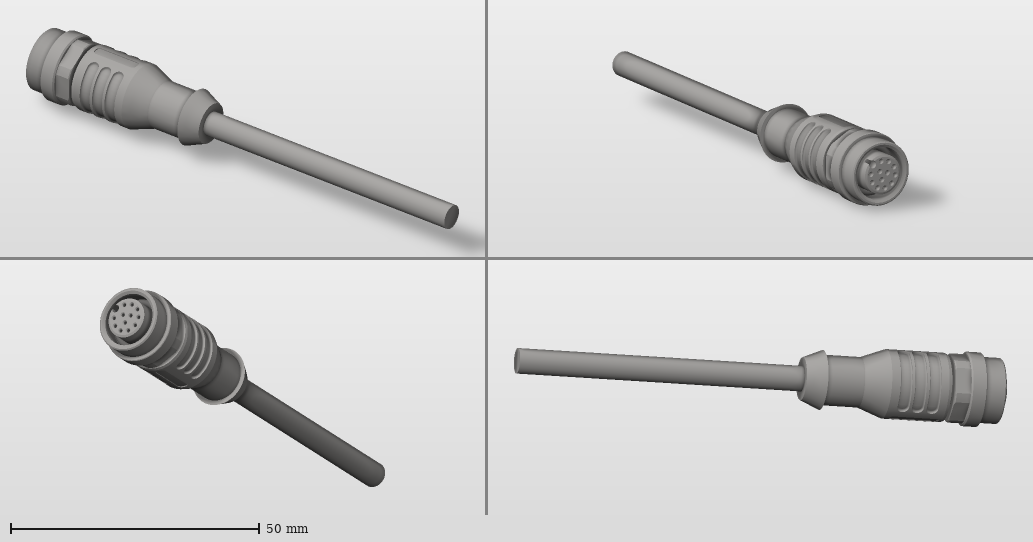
import cadquery as cq
import math

total_length = 101.0
nut_front = 0.8
flange_front = 5.0
flange_back = 8.3
nut_back = 11.4
grip_front = 12.2
grip_back = 24.7
barrel_front = 29.9
collar_front = 37.8
collar_back = 41.8

insert_dia = 8.3
insert_face_dia = 7.4
nut_dia = 13.3
flange_dia = 15.0
hex_corner_dia = 14.0
neck_dia = 8.7
grip_dia = 14.0
barrel_dia = 10.2
collar_dia = 12.1
collar_end_dia = 8.7
cable_dia = 5.2

insert_chamfer_length = 0.2
nut_chamfer = 0.25
flange_front_chamfer = 0.15
flange_back_chamfer = 0.3
hex_chamfer = 0.2
grip_chamfer_length = 0.6
grip_chamfer_height = 0.2

hex_sides = 6
hex_across_flats = 13.0

bore_dia = 10.9
bore_mouth_dia = 12.0
bore_mouth_depth = 0.4
bore_depth = 4.0
seal_dia = 10.7

contact_dia = 0.7
contact_mouth_dia = 1.1
contact_depth = 2.0
outer_contact_circle = 5.8
inner_contact_circle = 2.1
outer_positions = 10
inner_contacts = 3
key_angle = 135.0
key_width = 1.6
key_circle = 6.9
key_depth = 2.0

groove_count = 3
groove_pitch = 3.0
groove_first_x = 15.7
groove_width = 2.4
groove_floor_fillet = 0.3
groove_depth = 0.5
groove_end_y = 2.9

label_front = 13.4
label_back = 23.6
label_width = 2.2
label_corner = 0.8
label_depth = 0.25


def cylinder(diameter, start, end):
    """Cylinder on the X axis between two X positions."""
    return cq.Workplane("YZ", origin=(start, 0, 0)).circle(diameter / 2).extrude(end - start)


def cone(start_dia, end_dia, start, end):
    """Truncated cone on the X axis between two X positions."""
    profile = [(start, 0), (start, start_dia / 2), (end, end_dia / 2), (end, 0)]
    return cq.Workplane("XY").polyline(profile).close().revolve(360, (0, 0, 0), (1, 0, 0))


def make_nut():
    front = cylinder(nut_dia, nut_front, flange_front).faces("<X").chamfer(nut_chamfer)
    flange = (
        cylinder(flange_dia, flange_front, flange_back)
        .faces("<X")
        .chamfer(flange_front_chamfer)
        .faces(">X")
        .chamfer(flange_back_chamfer)
    )
    return front.union(flange).union(make_hexagon()).cut(make_bore())


def make_hexagon():
    """Hexagon with flats facing -Y and +Y and its corners turned down to a cylinder."""
    half_side_angle = 180 / hex_sides
    corner_to_corner = hex_across_flats / math.cos(math.radians(half_side_angle))
    turned_blank = cylinder(hex_corner_dia, flange_back, nut_back).faces(">X").chamfer(hex_chamfer)
    return (
        cq.Workplane("YZ", origin=(flange_back, 0, 0))
        .transformed(rotate=(0, 0, half_side_angle))
        .polygon(hex_sides, corner_to_corner)
        .extrude(nut_back - flange_back)
        .intersect(turned_blank)
    )


def make_bore():
    """Annular space between nut and insert; the sealing ring's round front bulges into its floor."""
    bore_radius = bore_dia / 2
    insert_radius = insert_dia / 2
    seal_outer_radius = seal_dia / 2
    seal_radius = (seal_outer_radius - insert_radius) / 2
    floor = nut_front + bore_depth
    return (
        cq.Workplane("XY")
        .moveTo(nut_front, insert_radius)
        .lineTo(nut_front, bore_mouth_dia / 2)
        .lineTo(nut_front + bore_mouth_depth, bore_radius)
        .lineTo(floor, bore_radius)
        .lineTo(floor, seal_outer_radius)
        .threePointArc((floor - seal_radius, insert_radius + seal_radius), (floor, insert_radius))
        .close()
        .revolve(360, (0, 0, 0), (1, 0, 0))
    )


def make_insert():
    tip = cone(insert_face_dia, insert_dia, 0, insert_chamfer_length)
    return tip.union(cylinder(insert_dia, insert_chamfer_length, flange_front))


def face_point(circle_dia, angle):
    """Y, Z point on a circle of the mating face; angles run from -Y towards +Z."""
    turn = math.radians(angle)
    radius = circle_dia / 2
    return (-radius * math.cos(turn), radius * math.sin(turn))


def make_contact_holes():
    outer_step = 360 / outer_positions
    inner_step = 360 / inner_contacts
    points = [
        face_point(outer_contact_circle, key_angle + i * outer_step)
        for i in range(1, outer_positions)
    ]
    points += [
        face_point(inner_contact_circle, key_angle + i * inner_step)
        for i in range(inner_contacts)
    ]
    mouth_depth = (contact_mouth_dia - contact_dia) / 2
    mouth = cone(contact_mouth_dia, contact_dia, 0, mouth_depth)
    hole = cylinder(contact_dia, 0, contact_depth).union(mouth)
    holes = cq.Workplane("YZ")
    for y, z in points:
        holes = holes.add(hole.translate((0, y, z)))
    return holes.combine()


def make_key_notch():
    y, z = face_point(key_circle, key_angle)
    return cylinder(key_width, 0, key_depth).translate((0, y, z))


def make_grip():
    lead_in = grip_front + grip_chamfer_length
    grip = (
        cone(grip_dia - 2 * grip_chamfer_height, grip_dia, grip_front, lead_in)
        .union(cylinder(grip_dia, lead_in, grip_back))
    )
    return cut_grooves(grip).cut(make_labels())


def make_groove(x):
    """Round-ended groove of constant depth that wraps around the +Y side of the grip."""
    slot_length = grip_dia
    groove = (
        cq.Workplane("XY", origin=(x, groove_end_y + slot_length / 2, 0))
        .slot2D(slot_length, groove_width, 90)
        .extrude(flange_dia / 2, both=True)
        .intersect(cylinder(flange_dia, grip_front, grip_back))
        .cut(cylinder(grip_dia - 2 * groove_depth, grip_front, grip_back))
    )
    floor = groove.faces(cq.NearestToPointSelector((x, 0, 0)))
    return floor.edges().fillet(groove_floor_fillet)


def cut_grooves(grip):
    for i in range(groove_count):
        groove = make_groove(groove_first_x + i * groove_pitch)
        grip = grip.cut(groove).cut(groove.mirror("XZ"))
    return grip


def make_labels():
    length = label_back - label_front
    floor = grip_dia / 2 - label_depth
    top = (
        cq.Workplane("XY", origin=(label_front + length / 2, 0, floor))
        .rect(length, label_width)
        .extrude(2 * label_depth)
        .edges("|Z")
        .fillet(label_corner)
    )
    return top.union(top.mirror("XY"))


result = (
    make_nut()
    .union(make_insert())
    .cut(make_contact_holes())
    .cut(make_key_notch())
    .union(cylinder(neck_dia, nut_back, grip_front))
    .union(make_grip())
    .union(cone(grip_dia, barrel_dia, grip_back, barrel_front))
    .union(cylinder(barrel_dia, barrel_front, collar_front))
    .union(cone(collar_dia, collar_end_dia, collar_front, collar_back))
    .union(cylinder(cable_dia, collar_back, total_length))
)